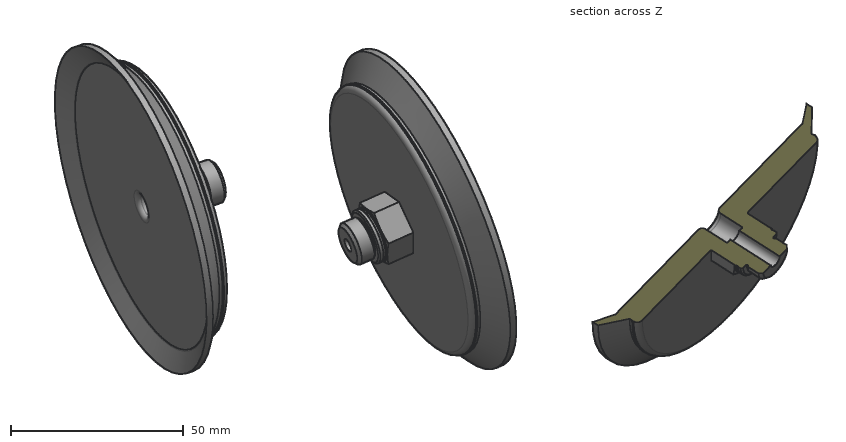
import cadquery as cq
import math


cup_diameter = 100.0
rim_width = 2.1
plate_diameter = 85.0
cone_end = 7.8
plate_back = 11.0
plate_round = 1.8
band_start = 8.8
band_width = 0.5
band_height = 0.15

recess_diameter = 88.0
recess_depth = 3.3
ledge_width = 0.3
ledge_depth = 0.2

across_flats = 17.0
hex_end = 19.6
collar_end = 20.1
hex_chamfer_angle = 15.0
washer_diameter = 16.8
washer_end = 22.3
washer_chamfer_width = 0.6
washer_chamfer_height = 0.4
washer_groove_width = 0.7
washer_groove_depth = 0.1
thread_diameter = 13.2
thread_start = 22.8
thread_chamfer = 1.0
neck_diameter = 12.4
total_length = 28.0

bore_diameter = 7.0
bore_end = 13.0
bore_mouth_round = 1.5
passage_diameter = 4.0


def cylinder(diameter, start, end):
    """Cylinder about the Y axis between two Y positions."""
    return cq.Workplane("XZ", origin=(0, start, 0)).circle(diameter / 2).extrude(start - end)


def make_cup():
    rim_radius = cup_diameter / 2
    plate_radius = plate_diameter / 2
    recess_radius = recess_diameter / 2
    floor = recess_depth + ledge_depth
    arc_inset = plate_round * (1 - math.sqrt(0.5))
    profile = (
        cq.Workplane("XY")
        .moveTo(0, floor)
        .lineTo(recess_radius - ledge_width, floor)
        .lineTo(recess_radius, recess_depth)
        .lineTo(rim_radius, 0)
        .lineTo(rim_radius, rim_width)
        .lineTo(plate_radius, cone_end)
        .lineTo(plate_radius, plate_back - plate_round)
        .threePointArc(
            (plate_radius - arc_inset, plate_back - arc_inset),
            (plate_radius - plate_round, plate_back),
        )
        .lineTo(0, plate_back)
        .close()
    )
    cup = profile.revolve(360, (0, 0, 0), (0, 1, 0))
    band = cylinder(plate_diameter + 2 * band_height, band_start, band_start + band_width)
    return cup.union(band)


def make_hexagon():
    corner_diameter = across_flats / math.cos(math.pi / 6)
    corner_radius = corner_diameter / 2
    end_radius = across_flats / 2
    chamfer_length = (corner_radius - end_radius) * math.tan(math.radians(hex_chamfer_angle))
    hexagon = (
        cq.Workplane("XZ", origin=(0, plate_back, 0))
        .transformed(rotate=(0, 0, 90))
        .polygon(6, corner_diameter)
        .extrude(plate_back - hex_end)
    )
    chamfer_envelope = (
        cq.Workplane("XY")
        .moveTo(0, plate_back)
        .lineTo(corner_radius, plate_back)
        .lineTo(corner_radius, hex_end - chamfer_length)
        .lineTo(end_radius, hex_end)
        .lineTo(0, hex_end)
        .close()
        .revolve(360, (0, 0, 0), (0, 1, 0))
    )
    collar = cylinder(across_flats, hex_end, collar_end)
    return hexagon.intersect(chamfer_envelope).union(collar)


def make_washer():
    groove_end = collar_end + washer_groove_width
    root = cylinder(washer_diameter - 2 * washer_groove_depth, collar_end, groove_end)
    washer_radius = washer_diameter / 2
    head = (
        cq.Workplane("XY")
        .moveTo(0, groove_end)
        .lineTo(washer_radius, groove_end)
        .lineTo(washer_radius, washer_end - washer_chamfer_height)
        .lineTo(washer_radius - washer_chamfer_width, washer_end)
        .lineTo(0, washer_end)
        .close()
        .revolve(360, (0, 0, 0), (0, 1, 0))
    )
    return root.union(head)


def make_thread():
    neck = cylinder(neck_diameter, washer_end, thread_start)
    thread = cylinder(thread_diameter, thread_start, total_length).faces(">Y").chamfer(thread_chamfer)
    return neck.union(thread)


def make_air_passage():
    """Stepped bore with a rounded mouth on the recess floor."""
    floor = recess_depth + ledge_depth
    bore_radius = bore_diameter / 2
    mouth_radius = bore_radius + bore_mouth_round
    arc_inset = bore_mouth_round * (1 - math.sqrt(0.5))
    bore = (
        cq.Workplane("XY")
        .moveTo(0, floor)
        .lineTo(mouth_radius, floor)
        .threePointArc(
            (bore_radius + arc_inset, floor + arc_inset),
            (bore_radius, floor + bore_mouth_round),
        )
        .lineTo(bore_radius, bore_end)
        .lineTo(0, bore_end)
        .close()
        .revolve(360, (0, 0, 0), (0, 1, 0))
    )
    return bore.union(cylinder(passage_diameter, bore_end, total_length))


fitting = make_hexagon().union(make_washer()).union(make_thread())
result = make_cup().union(fitting).cut(make_air_passage())